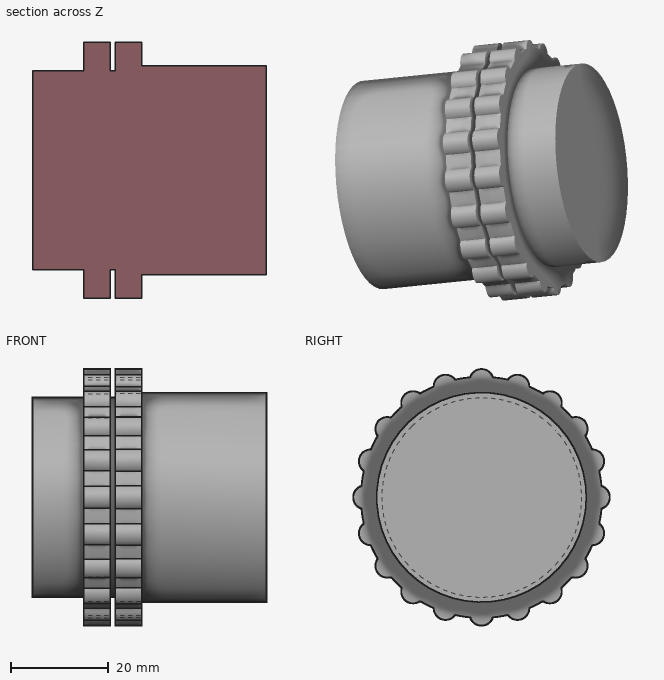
import cadquery as cq

total_length = 48.0
ring_thickness = 5.45
front_ring_start = 10.5
ring_gap = 1.0
rear_ring_start = front_ring_start + ring_thickness + ring_gap

plug_diameter = 40.9
sleeve_diameter = 42.9

ring_outer_diameter = 52.6
ring_root_diameter = 49.4
lobe_count = 20
front_lobe_radius = 2.35
rear_lobe_radius = 2.45


def cylinder_along_x(start, length, diameter):
    return cq.Workplane("YZ").workplane(offset=start).circle(diameter / 2).extrude(length)


def grip_ring(start, lobe_radius):
    ring = cylinder_along_x(start, ring_thickness, ring_root_diameter)
    lobes = (
        cq.Workplane("YZ")
        .workplane(offset=start)
        .polarArray(ring_outer_diameter / 2 - lobe_radius, 0, 360, lobe_count)
        .circle(lobe_radius)
        .extrude(ring_thickness)
    )
    return ring.union(lobes)


plug = cylinder_along_x(0, rear_ring_start, plug_diameter)
sleeve = cylinder_along_x(rear_ring_start, total_length - rear_ring_start, sleeve_diameter)

front_ring = grip_ring(front_ring_start, front_lobe_radius)
rear_ring = grip_ring(rear_ring_start, rear_lobe_radius)

result = plug.union(sleeve).union(front_ring).union(rear_ring)